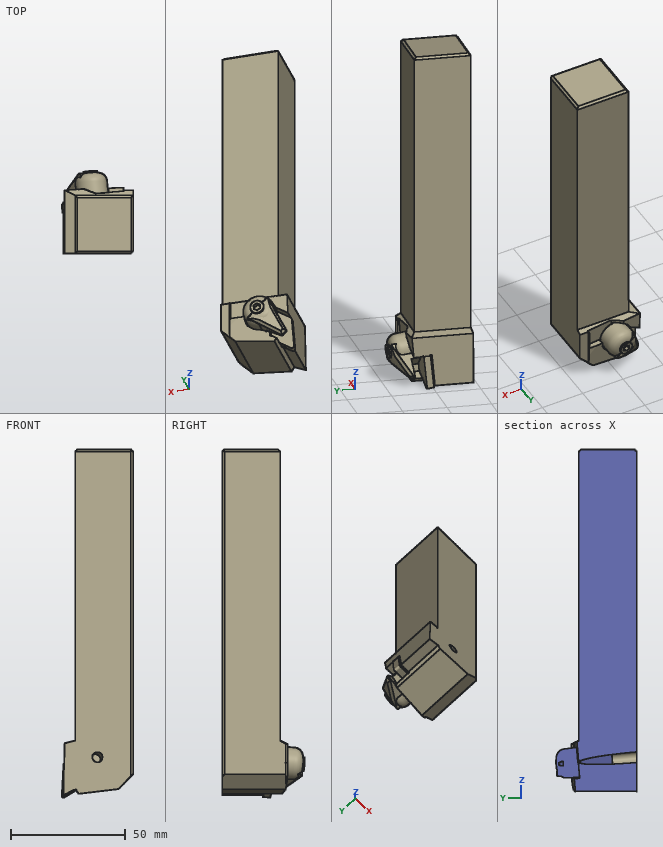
import cadquery as cq
import math

shank_size = 25.4
overall_length = 151.91
end_chamfer = 1.0
corner_chamfer = 1.2

head_reach = 4.6
head_lean = 0.45
shoulder_z = 24.95
shoulder_drop = 1.15
foot_z = 1.15
notch_top = (0.2, 3.6)
notch_foot = (1.55, 1.65)
heel_bottom = (18.9, 3.75)
heel_side_z = 10.3

head_top_y = 28.7
step_x = 21.3
step_y = 27.7
shoulder_edge_z = 23.3
toe_bevel_start = (26.4, 1.6)
toe_bevel_slope = 1.3

insert_length = 15.5
insert_inscribed = 9.525
insert_point_angle = 55.0
insert_thickness = 3.18
nose_radius = 0.8
insert_reach = 5.84
lead_angle = 3.0
rake_angle = 5.0
rake_y = 21.1
shim_thickness = 0.6
shim_setback = 0.9

head_rise = 4.35
clamp_base = 2.0
clamp_top = 11.6
clamp_radius = 7.0
clamp_round = 4.0
clamp_clearance = 0.3
clamp_axis = (15.0, 12.8)
relief_floor = 1.8
relief_left = 14.3
relief_right = 26.5
relief_side_run = 5.0
finger_angle = 225.0
finger_root_width = 13.0
finger_tip_width = 3.0
finger_reach = 14.8
finger_flat = 3.5
finger_tip_height = 6.2
finger_edge_chamfer = 1.2
foot_start = 4.5
foot_end = 7.5
screw_radius = 2.2
screw_depth = 13.0
screw_head_radius = 3.0
screw_head_sink = 3.0
screw_head_stand = 0.78
socket_across_corners = 3.4
socket_depth = 2.0
through = 60.0

tilt = math.tan(math.radians(rake_angle))
seat = cq.Plane(
    origin=(nose_radius - insert_reach, rake_y, nose_radius),
    xDir=(0, tilt, 1),
    normal=(-tilt, 1, -tilt),
)

side_angle = math.radians(lead_angle)
front_angle = math.radians(lead_angle + insert_point_angle)
side_edge = cq.Vector(math.cos(side_angle), math.sin(side_angle))
front_edge = cq.Vector(math.cos(front_angle), math.sin(front_angle))
insert_width = insert_inscribed / math.sin(math.radians(insert_point_angle))

bisector = (side_edge + front_edge).normalized()
sharp_tip = bisector * (-nose_radius / math.sin(math.radians(insert_point_angle / 2)))
back_corner = sharp_tip + side_edge * insert_length + front_edge * insert_width


def seat_level(height):
    """Work plane parallel to the rake face at a height above it."""
    return cq.Workplane(seat).workplane(offset=height)


def plate_outline(height, length, width):
    """Parallelogram that shares the insert's back corner."""
    corners = [
        back_corner,
        back_corner - front_edge * width,
        back_corner - front_edge * width - side_edge * length,
        back_corner - side_edge * length,
    ]
    return seat_level(height).polyline([(c.x, c.y) for c in corners]).close()


def clamp_envelope(margin, finger_profile):
    """Round clamp body and its finger; edges are broken only when there is no margin."""
    body = (
        seat_level(clamp_base)
        .center(*clamp_axis)
        .circle(clamp_radius + margin)
        .extrude(clamp_top - clamp_base)
    )
    if margin == 0:
        body = body.faces(cq.selectors.DirectionNthSelector(seat.zDir, -1)).edges().fillet(clamp_round)
    turn = math.radians(finger_angle)
    along = seat.xDir * math.cos(turn) + seat.yDir * math.sin(turn)
    across = along.cross(seat.zDir)
    start = seat.toWorldCoords((*clamp_axis, 0))
    side_view = cq.Workplane(cq.Plane(origin=start, xDir=along, normal=across))
    finger = side_view.polyline(finger_profile).close().extrude(finger_root_width, both=True)

    root = finger_root_width / 2 + margin
    tip = finger_tip_width / 2 + margin
    reach = finger_reach + margin
    plan = cq.Workplane(cq.Plane(origin=start, xDir=along, normal=seat.zDir))
    taper = plan.polyline([(0, -root), (reach, -tip), (reach, tip), (0, root)]).close()
    finger = finger.intersect(taper.extrude(clamp_top))
    if margin == 0:
        fall = clamp_top - finger_tip_height
        slope_normal = along * fall + seat.zDir * (finger_reach - finger_flat)
        slope = finger.faces(cq.selectors.ParallelDirSelector(slope_normal))
        finger = slope.edges().chamfer(finger_edge_chamfer)
    return body, finger


def make_shoulder_relief():
    """Cutter that opens the clamp recess upwards through the shoulder."""
    start = seat.toWorldCoords((clamp_axis[0], 0, 0))
    section = [
        (relief_left, relief_floor),
        (relief_left - relief_side_run, head_rise),
        (relief_left - relief_side_run, clamp_top),
        (relief_right, clamp_top),
        (relief_right, relief_floor),
    ]
    plane = cq.Plane(origin=start, xDir=seat.yDir, normal=seat.xDir)
    return cq.Workplane(plane).polyline(section).close().extrude(clamp_axis[0])


def make_holder():
    outline = [
        (0, overall_length),
        (0, shoulder_z),
        (-head_reach, shoulder_z - shoulder_drop),
        (-head_reach - head_lean, foot_z),
        notch_top,
        notch_foot,
        heel_bottom,
        (shank_size, heel_side_z),
        (shank_size, overall_length),
    ]
    body = cq.Workplane("XZ").polyline(outline).close().extrude(-head_top_y)

    shoulder = [
        (shank_size, overall_length),
        (shank_size, shoulder_z),
        (head_top_y, shoulder_edge_z),
        (head_top_y, overall_length),
    ]
    body = body.cut(cq.Workplane("YZ").polyline(shoulder).close().extrude(through, both=True))
    body = body.faces(">Z").edges().chamfer(end_chamfer)

    bevel = [
        (shank_size, 0),
        (shank_size, corner_chamfer),
        (shank_size - corner_chamfer, 0),
    ]
    body = body.cut(cq.Workplane("XY").polyline(bevel).close().extrude(overall_length))

    bevel_y, bevel_z = toe_bevel_start
    toe = [
        (bevel_y, bevel_z),
        (head_top_y, bevel_z + toe_bevel_slope * (head_top_y - bevel_y)),
        (head_top_y, 0),
        (bevel_y, 0),
    ]
    body = body.cut(cq.Workplane("YZ").polyline(toe).close().extrude(shank_size))

    body = body.cut(
        seat_level(head_rise).rect(2 * through, 2 * through).extrude(through)
    )

    body = body.cut(
        cq.Workplane("XY")
        .box(through, through, overall_length, centered=False)
        .translate((step_x, step_y, 0))
    )

    run_out = 2 * insert_width
    floor = -insert_thickness - shim_thickness
    pocket = plate_outline(floor, insert_length, insert_width + run_out).extrude(through)
    body = body.cut(pocket)

    slot = [
        (0, clamp_base),
        (0, clamp_top),
        (finger_reach + clamp_clearance, clamp_top),
        (finger_reach + clamp_clearance, head_rise),
        (foot_end, head_rise),
        (foot_end, 0),
        (foot_start - clamp_clearance, 0),
        (foot_start - clamp_clearance, clamp_base),
    ]
    for recess in clamp_envelope(clamp_clearance, slot):
        body = body.cut(recess)
    body = body.cut(make_shoulder_relief())
    hole = seat_level(-through).center(*clamp_axis).circle(screw_radius).extrude(2 * through)
    return body.cut(hole)


def make_insert():
    plate = plate_outline(-insert_thickness, insert_length, insert_width).extrude(insert_thickness)
    return plate.edges(cq.selectors.ParallelDirSelector(seat.zDir)).fillet(nose_radius)


def make_shim():
    outline = plate_outline(
        -insert_thickness - shim_thickness,
        insert_length - shim_setback,
        insert_width - shim_setback,
    )
    return outline.extrude(shim_thickness)


def make_screw():
    length = screw_depth + clamp_top - screw_head_sink
    shank = seat_level(-screw_depth).center(*clamp_axis).circle(screw_radius).extrude(length)
    head = (
        seat_level(clamp_top - screw_head_sink)
        .center(*clamp_axis)
        .circle(screw_head_radius)
        .extrude(screw_head_sink + screw_head_stand)
    )
    socket = (
        seat_level(clamp_top + screw_head_stand - socket_depth)
        .center(*clamp_axis)
        .polygon(6, socket_across_corners)
        .extrude(socket_depth)
    )
    return shank.union(head).cut(socket)


def make_clamp():
    profile = [
        (0, clamp_base),
        (0, clamp_top),
        (finger_flat, clamp_top),
        (finger_reach, finger_tip_height),
        (finger_reach, head_rise),
        (foot_end, head_rise),
        (foot_end, 0),
        (foot_start, 0),
        (foot_start, clamp_base),
    ]
    body, finger = clamp_envelope(0, profile)
    screw_shank = (
        seat_level(0).center(*clamp_axis).circle(screw_radius).extrude(clamp_top)
    )
    screw_head = (
        seat_level(clamp_top - screw_head_sink)
        .center(*clamp_axis)
        .circle(screw_head_radius)
        .extrude(screw_head_sink)
    )
    return body.union(finger).cut(screw_shank).cut(screw_head)


holder = make_holder()
insert = make_insert()
shim = make_shim()
screw = make_screw()
clamp = make_clamp()
result = cq.Compound.makeCompound(
    [holder.val(), insert.val(), shim.val(), clamp.val(), screw.val()]
)